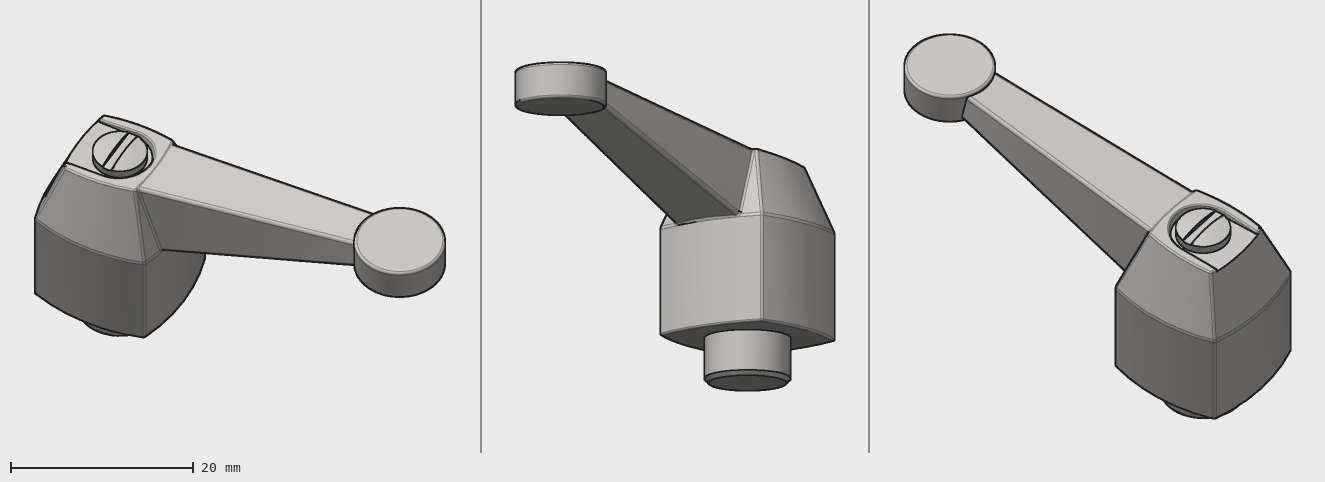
import cadquery as cq
import math

stub_diameter = 9.5
stub_height = 5.0
stub_chamfer = 0.5

hub_side = 8.0
hub_corner = 6.88
shoulder_z = stub_height + 12.0
side_taper = 22.5
corner_taper = 18.0
hub_edge_radius = 0.4
hub_rim_radius = 0.25
shoulder_radius = 1.0
arm_joint_radius = 0.25

hub_top_z = 24.65
hub_top_slope = 4.5
blank_top_z = 26.5

recess_floor_z = 24.0
recess_radius = 3.55
recess_draft = 15.0
recess_rim_radius = 0.2

screw_diameter = 6.0
screw_edge_z = 25.0
screw_crown_z = 25.4
screw_slot_width = 1.1
screw_slot_floor_z = 24.9

knob_x = 35.0
knob_diameter = 10.0
knob_top_z = 29.0
knob_height = 4.0
knob_edge_radius = 0.3

arm_root_x = 2.0
arm_root_bottom_z = 14.93
arm_root_top_z = 24.64
arm_root_bottom_half = 4.62
arm_root_top_half = 4.05
arm_tip_x = 31.5
arm_tip_bottom_z = 25.6
arm_tip_top_z = 28.75
arm_tip_bottom_half = 3.05
arm_tip_top_half = 2.45
arm_edge_radius = 0.4


def bowed_square(workplane, side, corner):
    """Square outline with four arc sides."""
    return (
        workplane.moveTo(-corner, -corner)
        .threePointArc((0, -side), (corner, -corner))
        .threePointArc((side, 0), (corner, corner))
        .threePointArc((0, side), (-corner, corner))
        .threePointArc((-side, 0), (-corner, -corner))
        .close()
    )


def is_hub_corner(edge):
    center = edge.Center()
    return min(abs(center.x), abs(center.y)) > hub_corner / 2


def is_shoulder(edge):
    return abs(edge.Center().z - shoulder_z) < 0.01


def make_hub():
    lower_plane = cq.Workplane("XY").workplane(offset=stub_height)
    lower = bowed_square(lower_plane, hub_side, hub_corner).extrude(shoulder_z - stub_height)

    taper_height = blank_top_z - shoulder_z
    top_side = hub_side - taper_height * math.tan(math.radians(side_taper))
    top_corner = hub_corner - taper_height * math.tan(math.radians(corner_taper))
    shoulder = bowed_square(cq.Workplane("XY").workplane(offset=shoulder_z), hub_side, hub_corner)
    upper = bowed_square(shoulder.workplane(offset=taper_height), top_side, top_corner).loft(ruled=True)

    cutter_size = 4 * hub_side
    above_top = (
        cq.Workplane("XY")
        .box(cutter_size, cutter_size, cutter_size, centered=(True, True, False))
        .rotate((0, 0, 0), (0, 1, 0), -hub_top_slope)
        .translate((0, 0, hub_top_z))
    )
    upper = upper.cut(above_top)
    hub = lower.union(upper)
    hub = hub.edges().filter(is_shoulder).fillet(shoulder_radius)
    hub = hub.edges().filter(is_hub_corner).fillet(hub_edge_radius)
    return hub.faces("<Z or >Z").edges().fillet(hub_rim_radius)


def make_stub():
    stub = cq.Workplane("XY").circle(stub_diameter / 2).extrude(stub_height)
    return stub.faces("<Z").chamfer(stub_chamfer)


def arm_section(x, bottom_z, top_z, bottom_half, top_half):
    corners = [
        (x, -bottom_half, bottom_z),
        (x, bottom_half, bottom_z),
        (x, top_half, top_z),
        (x, -top_half, top_z),
    ]
    return cq.Wire.makePolygon([cq.Vector(*corner) for corner in corners], close=True)


def make_arm():
    root = arm_section(
        arm_root_x, arm_root_bottom_z, arm_root_top_z, arm_root_bottom_half, arm_root_top_half
    )
    tip = arm_section(arm_tip_x, arm_tip_bottom_z, arm_tip_top_z, arm_tip_bottom_half, arm_tip_top_half)
    arm = cq.Workplane(cq.Solid.makeLoft([root, tip], True))
    long_edges = arm.edges().filter(lambda edge: arm_root_x < edge.Center().x < arm_tip_x)
    return long_edges.fillet(arm_edge_radius)


def make_knob():
    knob = (
        cq.Workplane("XY", origin=(knob_x, 0, knob_top_z - knob_height))
        .circle(knob_diameter / 2)
        .extrude(knob_height)
    )
    return knob.faces("<Z or >Z").edges().fillet(knob_edge_radius)


def make_recess():
    depth = blank_top_z - recess_floor_z
    floor = cq.Workplane("XY", origin=(0, 0, recess_floor_z))
    rounded_end = floor.circle(recess_radius).extrude(depth, taper=-recess_draft)
    open_end = floor.center(-hub_side / 2, 0).rect(hub_side, 2 * recess_radius).extrude(depth, taper=-recess_draft)
    return rounded_end.union(open_end)


def make_screw_head():
    radius = screw_diameter / 2
    crown_rise = screw_crown_z - screw_edge_z
    crown_radius = (radius**2 + crown_rise**2) / (2 * crown_rise)
    mid_r = radius / 2
    mid_z = screw_crown_z - crown_radius + math.sqrt(crown_radius**2 - mid_r**2)
    head = (
        cq.Workplane("XZ")
        .moveTo(0, shoulder_z)
        .lineTo(radius, shoulder_z)
        .lineTo(radius, screw_edge_z)
        .threePointArc((mid_r, mid_z), (0, screw_crown_z))
        .close()
        .revolve(360, (0, 0, 0), (0, 1, 0))
    )
    slot = (
        cq.Workplane("XY", origin=(0, 0, screw_slot_floor_z))
        .rect(screw_slot_width, 2 * screw_diameter)
        .extrude(screw_diameter)
    )
    return head.cut(slot)


def is_arm_joint(edge):
    """Edges on the tapered +X side of the hub, above the shoulder rounding, where the arm leaves it."""
    box = edge.BoundingBox()
    above_shoulder = box.zmin > shoulder_z + shoulder_radius / 5
    beside_arm = abs(edge.Center().y) < arm_root_bottom_half
    on_hub_side = box.xmin > arm_root_top_half and box.xmax < hub_side
    return above_shoulder and beside_arm and on_hub_side


def is_recess_rim(edge):
    """The two straight edges and the arc where the recess meets the sloping top face."""
    box = edge.BoundingBox()
    recess_reach = (hub_top_z - recess_floor_z) / 2
    above_floor = box.zmin > recess_floor_z + recess_rim_radius
    inside_recess = max(box.xmax, abs(edge.Center().y)) < recess_radius + recess_reach
    return above_floor and inside_recess and edge.geomType() in ("LINE", "ELLIPSE")


lever = make_hub().union(make_arm())
lever = lever.edges().filter(is_arm_joint).fillet(arm_joint_radius)
lever = lever.union(make_stub()).union(make_knob())
lever = lever.cut(make_recess())
lever = lever.edges().filter(is_recess_rim).fillet(recess_rim_radius)
result = lever.union(make_screw_head())